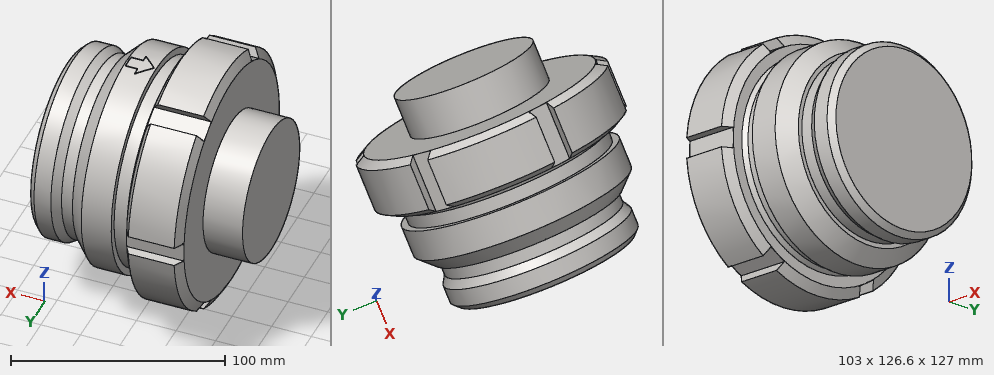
import cadquery as cq
import math


nut_radius = 63.5
nut_start = 20.0
nut_end = 48.9
nut_chamfer_length = 2.9
nut_chamfer_angle = 30.0
nut_chamfer_depth = nut_chamfer_length / math.tan(math.radians(nut_chamfer_angle))
slot_count = 6
slot_width = 10.2
slot_floor = 58.4

stub_radius = 35.0
collar_radius = 52.8
groove_radius = 51.4
collar_end = 51.5
drum_start = 58.0
drum_end = 73.2
drum_radius = 55.0
cone_end = 80.8
cone_end_radius = 47.2
neck_radius = 45.0
neck_end = 87.2
flange_start = 91.6
flange_radius = 47.5
flange_chamfer = 2.9
body_end = 103.0

arrow_tip = 59.0
arrow_barb = 66.0
arrow_tail = 72.1
arrow_half_head = 7.0
arrow_half_stem = 3.4
arrow_height = 0.4


def revolve_about_x(profile):
    """Revolve closed (x, radius) points around the X axis."""
    return cq.Workplane("XZ").polyline(profile).close().revolve(360, (0, 0, 0), (1, 0, 0))


def make_nut():
    rim_radius = nut_radius - nut_chamfer_depth
    nut = revolve_about_x([
        (nut_start, stub_radius),
        (nut_start, rim_radius),
        (nut_start + nut_chamfer_length, nut_radius),
        (nut_end - nut_chamfer_length, nut_radius),
        (nut_end, rim_radius),
        (nut_end, stub_radius),
    ])
    cutter = cq.Workplane("XY").box(
        nut_end - nut_start, nut_radius, slot_width, centered=(False, False, True)
    ).translate((nut_start, slot_floor, 0))
    for index in range(slot_count):
        angle = index * 360 / slot_count
        nut = nut.cut(cutter.rotate((0, 0, 0), (1, 0, 0), angle))
    return nut


def make_arrow():
    outline = [
        (arrow_tip, 0),
        (arrow_barb, arrow_half_head),
        (arrow_barb, arrow_half_stem),
        (arrow_tail, arrow_half_stem),
        (arrow_tail, -arrow_half_stem),
        (arrow_barb, -arrow_half_stem),
        (arrow_barb, -arrow_half_head),
    ]
    prism = cq.Workplane("XY").workplane(offset=groove_radius).polyline(outline).close()
    prism = prism.extrude(nut_radius - groove_radius)
    envelope = cq.Workplane("YZ").workplane(offset=drum_start)
    envelope = envelope.circle(drum_radius + arrow_height).extrude(drum_end - drum_start)
    return prism.intersect(envelope)


def make_body():
    body = revolve_about_x([
        (0, 0),
        (0, stub_radius),
        (nut_end, stub_radius),
        (nut_end, collar_radius),
        (collar_end, groove_radius),
        (drum_start, groove_radius),
        (drum_start, drum_radius),
        (drum_end, drum_radius),
        (cone_end, cone_end_radius),
        (cone_end, neck_radius),
        (neck_end, neck_radius),
        (flange_start, flange_radius),
        (body_end - flange_chamfer, flange_radius),
        (body_end, flange_radius - flange_chamfer),
        (body_end, 0),
    ])
    return body.union(make_arrow())


nut = make_nut()
body = make_body()
result = cq.Compound.makeCompound([nut.val(), body.val()])